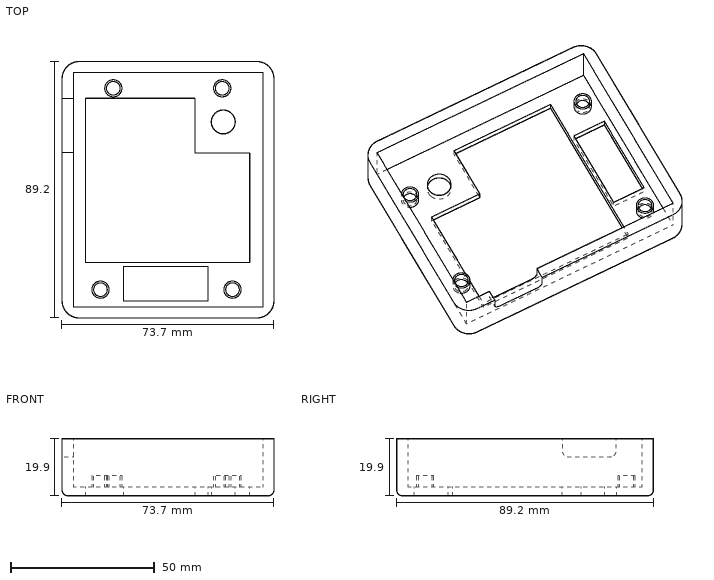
import cadquery as cq

case_width = 73.7
case_length = 89.25
case_height = 19.9
wall_thickness = 3.9
floor_thickness = 3.0
corner_radius = 6.1
bottom_edge_radius = 2.05

key_pitch = 19.0
keys_per_side = 3
key_opening_left = -28.65
key_opening_bottom = -25.3

window_width = 29.3
window_height = 12.0
window_center = (-0.8, -32.7)

knob_hole_diameter = 8.2
knob_hole_center = (19.2, 23.6)

boss_outer_diameter = 6.0
boss_inner_diameter = 4.7
boss_height = 4.0
upper_boss_y = 35.25
lower_boss_y = -34.7
boss_centers = [
    (-19.0, upper_boss_y),
    (18.8, upper_boss_y),
    (-23.5, lower_boss_y),
    (22.4, lower_boss_y),
]

notch_width = 18.65
notch_depth = 6.3
notch_center_y = 22.3
notch_corner_radius = 2.05


def make_shell():
    """Open-topped tray with rounded outer corners and a square-cornered cavity."""
    outer = (
        cq.Workplane("XY")
        .box(case_width, case_length, case_height, centered=(True, True, False))
        .edges("|Z")
        .fillet(corner_radius)
        .faces("<Z")
        .edges()
        .fillet(bottom_edge_radius)
    )
    cavity = (
        cq.Workplane("XY")
        .workplane(offset=floor_thickness)
        .rect(case_width - 2 * wall_thickness, case_length - 2 * wall_thickness)
        .extrude(case_height)
    )
    return outer.cut(cavity)


def make_key_opening():
    """L-shaped cutter: the full key square less the +X +Y key."""
    opening_side = keys_per_side * key_pitch
    right = key_opening_left + opening_side
    top = key_opening_bottom + opening_side
    return (
        cq.Workplane("XY")
        .moveTo(key_opening_left, key_opening_bottom)
        .lineTo(right, key_opening_bottom)
        .lineTo(right, top - key_pitch)
        .lineTo(right - key_pitch, top - key_pitch)
        .lineTo(right - key_pitch, top)
        .lineTo(key_opening_left, top)
        .close()
        .extrude(floor_thickness)
    )


def make_window():
    return cq.Workplane("XY").center(*window_center).rect(window_width, window_height).extrude(floor_thickness)


def make_knob_hole():
    return cq.Workplane("XY").center(*knob_hole_center).circle(knob_hole_diameter / 2).extrude(floor_thickness)


def make_bosses():
    """Tubes open at the top and closed by the floor at the bottom."""
    return (
        cq.Workplane("XY")
        .workplane(offset=floor_thickness)
        .pushPoints(boss_centers)
        .circle(boss_outer_diameter / 2)
        .circle(boss_inner_diameter / 2)
        .extrude(boss_height)
    )


def make_notch():
    """Cutter through the -X wall, open at the rim, with rounded lower corners."""
    return (
        cq.Workplane("XY")
        .box(wall_thickness, notch_width, notch_depth, centered=(False, True, False))
        .edges("|X and <Z")
        .fillet(notch_corner_radius)
        .translate((-case_width / 2, notch_center_y, case_height - notch_depth))
    )


result = (
    make_shell()
    .cut(make_key_opening())
    .cut(make_window())
    .cut(make_knob_hole())
    .cut(make_notch())
    .union(make_bosses())
)